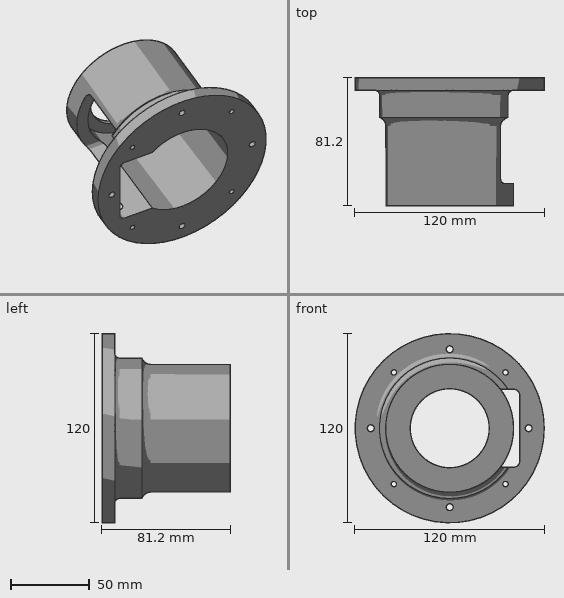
import cadquery as cq
import math

flange_radius = 60.0
flange_thickness = 8.0
total_length = 81.2

hub_radius = 40.5
shoulder_radius = 44.5
shoulder_end = 25.2
root_fillet = 3.0
step_fillet = 6.0

lip_radius = 25.0
lip_length = 3.0
bore_radius = 32.5

window_half_height = 24.6
window_outer_x = 44.3
window_front_wall = 14.2
window_corner_radius = 3.5

bolt_circle_radius = 50.0
large_hole_diameter = 4.2
small_hole_diameter = 3.2


def turned_body():
    """Flange, shoulder and hub, with concave fillets at both steps."""
    root_end = flange_thickness + root_fillet
    root_center_radius = shoulder_radius + root_fillet
    root_offset = root_fillet * math.sqrt(0.5)

    step_center_radius = hub_radius + step_fillet
    step_drop = step_center_radius - shoulder_radius
    step_end = shoulder_end + math.sqrt(step_fillet**2 - step_drop**2)
    mid_angle = math.acos(step_drop / step_fillet) / 2
    step_mid = (
        step_center_radius - step_fillet * math.cos(mid_angle),
        -step_end + step_fillet * math.sin(mid_angle),
    )

    return (
        cq.Workplane("XY")
        .lineTo(flange_radius, 0)
        .lineTo(flange_radius, -flange_thickness)
        .lineTo(root_center_radius, -flange_thickness)
        .threePointArc(
            (root_center_radius - root_offset, -root_end + root_offset),
            (shoulder_radius, -root_end),
        )
        .lineTo(shoulder_radius, -shoulder_end)
        .threePointArc(step_mid, (hub_radius, -step_end))
        .lineTo(hub_radius, -total_length)
        .lineTo(0, -total_length)
        .close()
        .revolve(360, (0, 0, 0), (0, 1, 0))
    )


def cylinder_along_hub(radius, length, x=0, z=0):
    """Cylinder running from the mounting face toward the free end."""
    return cq.Workplane("XZ").center(x, z).circle(radius).extrude(length)


def stepped_bore():
    wide_bore = cylinder_along_hub(bore_radius, total_length - lip_length)
    return wide_bore.union(cylinder_along_hub(lip_radius, total_length))


def side_window():
    """Window through flange and hub wall, rounded at its outer and front corners."""
    depth = total_length - window_front_wall
    return (
        cq.Workplane("XY")
        .box(window_outer_x, depth, 2 * window_half_height, centered=(False, False, True))
        .translate((0, -depth, 0))
        .edges("|Y and >X")
        .fillet(window_corner_radius)
        .edges("|X and <Y")
        .fillet(window_corner_radius)
    )


def shoulder_relief():
    """Clears the slivers of shoulder and fillet that lie farther out than the window."""
    relief_end = shoulder_end + step_fillet
    length = relief_end - flange_thickness
    return (
        cq.Workplane("XY")
        .box(flange_radius, length, 2 * window_half_height, centered=(False, False, True))
        .translate((0, -relief_end, 0))
    )


def flange_holes():
    hole_count = 8
    holes = cq.Workplane("XZ")
    for index in range(hole_count):
        angle = 2 * math.pi * index / hole_count
        diameter = small_hole_diameter if index % 2 else large_hole_diameter
        hole = cylinder_along_hub(
            diameter / 2,
            flange_thickness,
            bolt_circle_radius * math.cos(angle),
            bolt_circle_radius * math.sin(angle),
        )
        holes = holes.add(hole)
    return holes.combine()


result = (
    turned_body()
    .cut(stepped_bore())
    .cut(side_window())
    .cut(shoulder_relief())
    .cut(flange_holes())
)